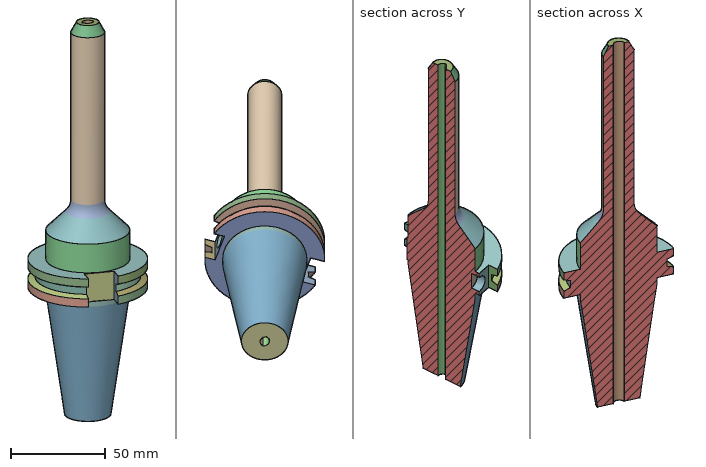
import cadquery as cq
import math

total_height = 220.6
taper_height = 68.2
flange_bottom = 71.5
flange_top = 87.4
body_top = 103.5
tip_height = 5.7

taper_end_radius = 12.4
body_radius = 22.3
flange_radius = 31.8
shank_radius = 9.0
tip_radius = 6.0

bore_half_length = 3.0
bore_half_width = 2.5

shoulder_angle = math.radians(45)
shoulder_fillet = 9.5

groove_floor_radius = 28.0
groove_opening = 6.6
groove_floor_width = 4.2

slot_width = 16.3
slot_floor_left = 25.0
slot_floor_right = 23.0

side_hole_diameter = 10.0
side_hole_depth = 5.0

flange_middle = (flange_bottom + flange_top) / 2
flange_height = flange_top - flange_bottom


def revolved_body():
    """Taper, flange, shoulder, shank and tip as one turned profile."""
    fillet_center_radius = shank_radius + shoulder_fillet
    cone_top_radius = fillet_center_radius - shoulder_fillet * math.cos(shoulder_angle)
    cone_top = body_top + (body_radius - cone_top_radius) * math.tan(shoulder_angle)
    fillet_top = cone_top + shoulder_fillet * math.sin(shoulder_angle)
    half_angle = shoulder_angle / 2
    fillet_middle = (
        fillet_center_radius - shoulder_fillet * math.cos(half_angle),
        fillet_top - shoulder_fillet * math.sin(half_angle),
    )
    return (
        cq.Workplane("XZ")
        .lineTo(taper_end_radius, 0)
        .lineTo(body_radius, taper_height)
        .lineTo(body_radius, flange_bottom)
        .lineTo(flange_radius, flange_bottom)
        .lineTo(flange_radius, flange_middle - groove_opening / 2)
        .lineTo(groove_floor_radius, flange_middle - groove_floor_width / 2)
        .lineTo(groove_floor_radius, flange_middle + groove_floor_width / 2)
        .lineTo(flange_radius, flange_middle + groove_opening / 2)
        .lineTo(flange_radius, flange_top)
        .lineTo(body_radius, flange_top)
        .lineTo(body_radius, body_top)
        .lineTo(cone_top_radius, cone_top)
        .threePointArc(fillet_middle, (shank_radius, fillet_top))
        .lineTo(shank_radius, total_height - tip_height)
        .lineTo(tip_radius, total_height)
        .lineTo(0, total_height)
        .close()
        .revolve(360, (0, 0, 0), (0, 1, 0))
    )


def drive_slot(side, floor_distance):
    """Cutter reaching from the slot floor out past the flange; side is -1 or 1."""
    center_x = side * (floor_distance + flange_radius / 2)
    return (
        cq.Workplane("XY")
        .box(flange_radius, slot_width, flange_height)
        .translate((center_x, 0, flange_middle))
    )


def side_hole():
    """Cutter running inward from the floor of the left slot."""
    return (
        cq.Workplane("YZ", origin=(-slot_floor_left, 0, flange_middle))
        .circle(side_hole_diameter / 2)
        .extrude(side_hole_depth)
    )


def lens_bore():
    """Cutter bounded by two arcs, running along the whole tool axis."""
    return (
        cq.Workplane("XY")
        .moveTo(0, bore_half_length)
        .threePointArc((bore_half_width, 0), (0, -bore_half_length))
        .threePointArc((-bore_half_width, 0), (0, bore_half_length))
        .close()
        .extrude(total_height)
    )


result = (
    revolved_body()
    .cut(drive_slot(-1, slot_floor_left))
    .cut(drive_slot(1, slot_floor_right))
    .cut(side_hole())
    .cut(lens_bore())
)